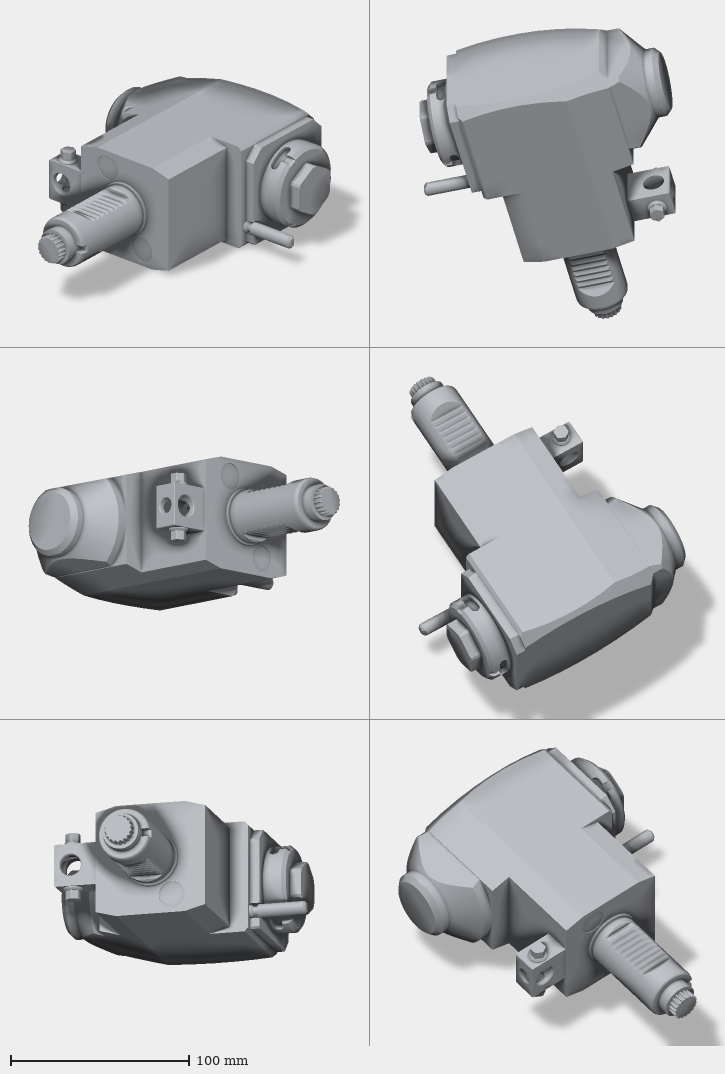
import cadquery as cq
import math


HALF_HEIGHT = 32.0
BODY_HALF_WIDTH = 32.0
BODY_FLAT_HALF = 20.0
SIDE_SLOPE = math.tan(math.radians(15))
HEAD_LEFT = -44.0
HEAD_RIGHT = 42.6
HEAD_FRONT = 51.0
HEAD_BACK = 115.0
HEAD_EDGE_CHAMFER = 2.2
HEAD_BACK_CHAMFER = 4.0
CROWN_RADIUS = 128.0
CROWN_X = 10.0
CROWN_CHAMFER = 2.7
SPINDLE_Y = 85.0

CAP_LEFT = -71.0
CAP_NOSE_RADIUS = 19.5
CAP_NOSE_CHAMFER = 3.0
CAP_CONE_START = -63.1
CAP_CONE_END = -50.2
CAP_RADIUS = SPINDLE_Y - HEAD_FRONT
CAP_HALF_HEIGHT = 25.2
CAP_BACK = HEAD_BACK - HEAD_BACK_CHAMFER

PLATE_RIGHT = 48.1
PLATE_SIZE_Y = 60.0
PLATE_SIZE_Z = 59.0
PLATE_CHAMFER = 7.4
PLATE_SMALL_CHAMFER = 1.2
NUT_RIGHT = 61.3
NUT_RADIUS = 24.5
NUT_CHAMFER = 2.1
NUT_GAP_RADIUS = 23.5
NUT_GAP_RIGHT = 48.6
NUT_SLOT_X = 52.9
NUT_SLOT_WIDTH = 5.2
NUT_SLOT_LENGTH = 16.4
NUT_SLOT_DEPTH = 3.0
NUT_NOTCH_WIDTH = 5.0
NUT_NOTCH_DEPTH = 2.6
NUT_SLOT_ANGLES = (30, 150, 270)
HEX_RIGHT = 67.8
HEX_ACROSS_FLATS = 27.0
HEX_CORNER_RADIUS = 15.1
HEX_CHAMFER = 0.5

PIN_RIGHT = 75.38
PIN_Y = 56.4
PIN_Z = -19.2
PIN_RADIUS = 3.75
PIN_NECK_RADIUS = 2.5
PIN_NECK_LEFT = 44.7
PIN_NECK_RIGHT = 47.5
PIN_TIP_CHAMFER = 1.2
PIN_TIP_FLAT = 2.6
PIN_CLEARANCE_RADIUS = 4.6

SHANK_RADIUS = 15.0
SHANK_LENGTH = 55.0
SHANK_END_TAPER = 2.0
SHANK_END_TAPER_RADIUS = 14.6
SHANK_END_CHAMFER = 0.6
COLLAR_RADIUS = 16.2
COLLAR_LENGTH = 1.5
COLLAR_CHAMFER = 0.4
RELIEF_RADIUS = 14.6
RELIEF_START = 2.1
RELIEF_END = 2.6
NECK_RADIUS = 10.3
NECK_END = 61.4
RACK_FLAT_Z = 11.75
RACK_VALLEY_Z = 10.5
RACK_START = 7.2
RACK_LEAD_IN = 1.1
RACK_TEETH_START = 10.0
RACK_PITCH = 4.0
RACK_GROOVES = 8
KEYWAY_WIDTH = 4.6
KEYWAY_START = 50.5

SPLINE_END = 67.0
SPLINE_TEETH = 18
SPLINE_TIP_RADIUS = 8.1
SPLINE_ROOT_RADIUS = 7.2
SPLINE_CHAMFER = 0.4
SPLINE_ROOT_SHARE = 0.30
SPLINE_TIP_SHARE = 0.12

PLUG_X = 12.5
PLUG_Z = 21.7
PLUG_RADIUS = 7.5
PLUG_DEPTH = 0.5

BLOCK_LEFT = -56.0
BLOCK_FRONT = 0.7
BLOCK_SIZE_Y = 15.0
BLOCK_HALF_HEIGHT = 12.2
BLOCK_CHAMFER = 0.4
PORT_X = -46.9
PORT_Y = BLOCK_FRONT + BLOCK_SIZE_Y / 2
CROSS_PORT_RADIUS = 6.1
SIDE_PORT_RADIUS = 4.4
FEED_RADIUS = 1.6
FEED_END = -36.0
SIDE_PORT_END = -38.0
PORT_CHAMFER = 0.5
SCREW_Y = 6.85
SCREW_COLLAR_RADIUS = 5.4
SCREW_COLLAR_TOP_RADIUS = 4.5
SCREW_COLLAR_RIM = 0.7
SCREW_COLLAR_HEIGHT = 1.8
SCREW_TOP = 19.0
SCREW_ACROSS_FLATS = 7.6
SCREW_CORNER_RADIUS = 4.25
SCREW_BORE_RADIUS = 3.5
SCREW_BORE_HALF_HEIGHT = 7.0


def box(x_range, y_range, z_range):
    """Box spanning the given (low, high) ranges."""
    size = [high - low for low, high in (x_range, y_range, z_range)]
    corner = (x_range[0], y_range[0], z_range[0])
    return cq.Workplane("XY").box(*size, centered=False).translate(corner)


def turned_y(profile):
    """Solid of revolution about Y from (radius, y) points."""
    return cq.Workplane("XY").polyline(profile).close().revolve(360, (0, 0), (0, 1))


def turned_x(profile, y, z=0):
    """Solid of revolution about an axis parallel to X from (x, radius) points."""
    turned = cq.Workplane("XY").polyline(profile).close().revolve(360, (0, 0), (1, 0))
    return turned.translate((0, y, z))


def rod_x(radius, left, right, y, z=0):
    return turned_x([(left, 0), (left, radius), (right, radius), (right, 0)], y, z)


def slope_z(x):
    """Height of the 15 degree side facets at a distance x from the shank axis."""
    return HALF_HEIGHT - (abs(x) - BODY_FLAT_HALF) * SIDE_SLOPE


def mirrored_section(upper, y_start, y_end):
    """Prism along Y whose XZ outline is the upper edge and its mirror below."""
    outline = upper + [(x, -z) for x, z in reversed(upper)]
    prism = cq.Workplane("XZ").polyline(outline).close().extrude(y_start - y_end)
    return prism.translate((0, y_start, 0))


def make_body():
    side_z = slope_z(BODY_HALF_WIDTH)
    upper = [
        (-BODY_HALF_WIDTH, side_z),
        (-BODY_FLAT_HALF, HALF_HEIGHT),
        (BODY_FLAT_HALF, HALF_HEIGHT),
        (BODY_HALF_WIDTH, side_z),
    ]
    body = mirrored_section(upper, 0, HEAD_FRONT)
    for side in (-1, 1):
        plug = cq.Workplane("XZ").center(side * PLUG_X, -side * PLUG_Z)
        body = body.cut(plug.circle(PLUG_RADIUS).extrude(-PLUG_DEPTH))
    return body


def make_crown():
    """Large 45 degree cone that bevels the upper back edge of the head."""
    front_radius = CROWN_RADIUS + HEAD_BACK - HEAD_FRONT
    profile = [(0, HEAD_FRONT), (front_radius, HEAD_FRONT), (CROWN_RADIUS, HEAD_BACK), (0, HEAD_BACK)]
    axis_z = HALF_HEIGHT - CROWN_CHAMFER - CROWN_RADIUS
    return turned_y(profile).translate((CROWN_X, 0, axis_z))


def make_head():
    upper = [
        (HEAD_LEFT, slope_z(HEAD_LEFT)),
        (-BODY_FLAT_HALF, HALF_HEIGHT),
        (HEAD_RIGHT - HEAD_EDGE_CHAMFER, HALF_HEIGHT),
        (HEAD_RIGHT, HALF_HEIGHT - HEAD_EDGE_CHAMFER),
    ]
    head = mirrored_section(upper, HEAD_FRONT, HEAD_BACK)
    head = head.edges(cq.selectors.NearestToPointSelector((HEAD_LEFT, HEAD_BACK, 0)))
    head = head.chamfer(HEAD_BACK_CHAMFER)
    crown = make_crown()
    return head.intersect(crown).intersect(crown.mirror("XY"))


def make_cap():
    nose_end = CAP_LEFT + CAP_NOSE_CHAMFER
    profile = [
        (CAP_LEFT, 0),
        (CAP_LEFT, CAP_NOSE_RADIUS - CAP_NOSE_CHAMFER),
        (nose_end, CAP_NOSE_RADIUS),
        (CAP_CONE_START, CAP_NOSE_RADIUS),
        (CAP_CONE_END, CAP_RADIUS),
        (HEAD_LEFT, CAP_RADIUS),
        (HEAD_LEFT, 0),
    ]
    flat_start = -BODY_FLAT_HALF - (HALF_HEIGHT - CAP_HALF_HEIGHT) / SIDE_SLOPE
    upper = [
        (CAP_LEFT, slope_z(CAP_LEFT)),
        (flat_start, CAP_HALF_HEIGHT),
        (HEAD_LEFT, CAP_HALF_HEIGHT),
    ]
    envelope = mirrored_section(upper, HEAD_FRONT, CAP_BACK)
    return turned_x(profile, SPINDLE_Y).intersect(envelope)


def make_plate():
    front = SPINDLE_Y - PLATE_SIZE_Y / 2
    back = SPINDLE_Y + PLATE_SIZE_Y / 2
    half_z = PLATE_SIZE_Z / 2
    outline = [
        (front + PLATE_SMALL_CHAMFER, -half_z),
        (back - PLATE_CHAMFER, -half_z),
        (back, -half_z + PLATE_CHAMFER),
        (back, half_z - PLATE_CHAMFER),
        (back - PLATE_CHAMFER, half_z),
        (front + PLATE_CHAMFER, half_z),
        (front, half_z - PLATE_CHAMFER),
        (front, -half_z + PLATE_SMALL_CHAMFER),
    ]
    plate = cq.Workplane("YZ").polyline(outline).close().extrude(PLATE_RIGHT - HEAD_RIGHT)
    plate = plate.translate((HEAD_RIGHT, 0, 0))
    return plate.cut(rod_x(PIN_CLEARANCE_RADIUS, HEAD_RIGHT, PLATE_RIGHT, PIN_Y, PIN_Z))


def make_nut_slot():
    """Spanner slot and end notch at the top of a nut centred on the X axis."""
    floor_radius = NUT_RADIUS - NUT_SLOT_DEPTH
    slot = cq.Workplane("XY").center(NUT_SLOT_X, 0).slot2D(NUT_SLOT_LENGTH, NUT_SLOT_WIDTH, 90)
    slot = slot.extrude(NUT_RADIUS).cut(rod_x(floor_radius, PLATE_RIGHT, NUT_RIGHT, 0))
    half_notch = NUT_NOTCH_WIDTH / 2
    notch_floor = NUT_RADIUS - NUT_NOTCH_DEPTH
    notch = box((NUT_SLOT_X, NUT_RIGHT), (-half_notch, half_notch), (notch_floor, NUT_RADIUS))
    return slot.union(notch)


def make_nut():
    profile = [
        (PLATE_RIGHT, 0),
        (PLATE_RIGHT, NUT_GAP_RADIUS),
        (NUT_GAP_RIGHT, NUT_GAP_RADIUS),
        (NUT_GAP_RIGHT, NUT_RADIUS),
        (NUT_RIGHT - NUT_CHAMFER, NUT_RADIUS),
        (NUT_RIGHT, NUT_RADIUS - NUT_CHAMFER),
        (NUT_RIGHT, 0),
    ]
    nut = turned_x(profile, 0)
    slot = make_nut_slot()
    for angle in NUT_SLOT_ANGLES:
        nut = nut.cut(slot.rotate((0, 0, 0), (1, 0, 0), angle))
    return nut.translate((0, SPINDLE_Y, 0))


def make_hexagon():
    corner_diameter = HEX_ACROSS_FLATS / math.cos(math.pi / 6)
    prism = cq.Workplane("YZ").polygon(6, corner_diameter).extrude(HEX_RIGHT - NUT_RIGHT)
    prism = prism.rotate((0, 0, 0), (1, 0, 0), 90).translate((NUT_RIGHT, SPINDLE_Y, 0))
    profile = [
        (NUT_RIGHT, 0),
        (NUT_RIGHT, HEX_CORNER_RADIUS),
        (HEX_RIGHT - HEX_CHAMFER, HEX_CORNER_RADIUS),
        (HEX_RIGHT, HEX_CORNER_RADIUS - HEX_CHAMFER),
        (HEX_RIGHT, 0),
    ]
    return prism.intersect(turned_x(profile, SPINDLE_Y))


def make_pin():
    neck_step = PIN_RADIUS - PIN_NECK_RADIUS
    profile = [
        (HEAD_RIGHT, 0),
        (HEAD_RIGHT, PIN_RADIUS),
        (PIN_NECK_LEFT - neck_step, PIN_RADIUS),
        (PIN_NECK_LEFT, PIN_NECK_RADIUS),
        (PIN_NECK_RIGHT, PIN_NECK_RADIUS),
        (PIN_NECK_RIGHT, PIN_RADIUS),
        (PIN_RIGHT - PIN_TIP_CHAMFER, PIN_RADIUS),
        (PIN_RIGHT, PIN_RADIUS - PIN_TIP_CHAMFER),
        (PIN_RIGHT, 0),
    ]
    pin = turned_x(profile, PIN_Y, PIN_Z)
    back = PIN_Y + PIN_RADIUS
    tip_wedge = cq.Workplane("XY").workplane(offset=PIN_Z - PIN_RADIUS)
    tip_wedge = tip_wedge.moveTo(PIN_RIGHT - PIN_TIP_FLAT, back).lineTo(PIN_RIGHT, back)
    tip_wedge = tip_wedge.lineTo(PIN_RIGHT, back - PIN_TIP_FLAT).close().extrude(2 * PIN_RADIUS)
    return pin.cut(tip_wedge)


def make_rack_cut():
    """Upper clamping recess of the shank: flat, V grooves and a 45 degree run-out."""
    outline = [
        (-RACK_START + RACK_LEAD_IN, SHANK_RADIUS),
        (-RACK_START, SHANK_RADIUS - RACK_LEAD_IN),
        (-RACK_START, RACK_FLAT_Z),
    ]
    for groove in range(RACK_GROOVES):
        crest_y = -RACK_TEETH_START - groove * RACK_PITCH
        outline.append((crest_y, RACK_FLAT_Z))
        outline.append((crest_y - RACK_PITCH / 2, RACK_VALLEY_Z))
    last_valley_y = outline[-1][0]
    outline.append((last_valley_y - (SHANK_RADIUS - RACK_VALLEY_Z), SHANK_RADIUS))
    return cq.Workplane("YZ").polyline(outline).close().extrude(SHANK_RADIUS, both=True)


def make_shank():
    profile = [
        (0, 0),
        (COLLAR_RADIUS, 0),
        (COLLAR_RADIUS, -COLLAR_LENGTH + COLLAR_CHAMFER),
        (COLLAR_RADIUS - COLLAR_CHAMFER, -COLLAR_LENGTH),
        (RELIEF_RADIUS, -COLLAR_LENGTH),
        (RELIEF_RADIUS, -RELIEF_START),
        (SHANK_RADIUS, -RELIEF_END),
        (SHANK_RADIUS, -SHANK_LENGTH + SHANK_END_TAPER),
        (SHANK_END_TAPER_RADIUS, -SHANK_LENGTH + SHANK_END_CHAMFER),
        (SHANK_END_TAPER_RADIUS - SHANK_END_CHAMFER, -SHANK_LENGTH),
        (NECK_RADIUS, -SHANK_LENGTH),
        (NECK_RADIUS, -NECK_END),
        (0, -NECK_END),
    ]
    rack = make_rack_cut()
    shank = turned_y(profile).cut(rack).cut(rack.mirror("XY"))
    half_key = KEYWAY_WIDTH / 2
    keyway = box((NECK_RADIUS, SHANK_RADIUS), (-SHANK_LENGTH, -KEYWAY_START), (-half_key, half_key))
    return shank.cut(keyway)


def make_spline():
    tooth_angle = 2 * math.pi / SPLINE_TEETH
    tooth_steps = (
        (-SPLINE_ROOT_SHARE, SPLINE_ROOT_RADIUS),
        (-SPLINE_TIP_SHARE, SPLINE_TIP_RADIUS),
        (SPLINE_TIP_SHARE, SPLINE_TIP_RADIUS),
        (SPLINE_ROOT_SHARE, SPLINE_ROOT_RADIUS),
    )
    outline = []
    for tooth in range(SPLINE_TEETH):
        for step, radius in tooth_steps:
            angle = (tooth + step) * tooth_angle
            outline.append((radius * math.sin(angle), radius * math.cos(angle)))
    spline = cq.Workplane("XZ").polyline(outline).close().extrude(SPLINE_END - NECK_END)
    spline = spline.translate((0, -NECK_END, 0))
    blank = [
        (0, -NECK_END),
        (SPLINE_TIP_RADIUS, -NECK_END),
        (SPLINE_TIP_RADIUS, -SPLINE_END + SPLINE_CHAMFER),
        (SPLINE_TIP_RADIUS - SPLINE_CHAMFER, -SPLINE_END),
        (0, -SPLINE_END),
    ]
    return spline.intersect(turned_y(blank))


def make_screw():
    """Hexagon screw head with a tapered collar on the upper face of the coolant block."""
    collar = cq.Workplane("XY").circle(SCREW_COLLAR_RADIUS).extrude(SCREW_COLLAR_HEIGHT)
    collar_bevel = SCREW_COLLAR_RADIUS - SCREW_COLLAR_TOP_RADIUS
    collar = collar.faces(">Z").chamfer(SCREW_COLLAR_HEIGHT - SCREW_COLLAR_RIM, collar_bevel)
    corner_diameter = SCREW_ACROSS_FLATS / math.cos(math.pi / 6)
    head_height = SCREW_TOP - BLOCK_HALF_HEIGHT
    head = cq.Workplane("XY").polygon(6, corner_diameter).extrude(head_height)
    head = head.rotate((0, 0, 0), (0, 0, 1), 90)
    head = head.intersect(cq.Workplane("XY").circle(SCREW_CORNER_RADIUS).extrude(head_height))
    return collar.union(head).translate((PORT_X, SCREW_Y, BLOCK_HALF_HEIGHT))


def make_coolant_block():
    back = BLOCK_FRONT + BLOCK_SIZE_Y
    block = box(
        (BLOCK_LEFT, -BODY_HALF_WIDTH),
        (BLOCK_FRONT, back),
        (-BLOCK_HALF_HEIGHT, BLOCK_HALF_HEIGHT),
    )
    block = block.faces("<X").edges().chamfer(BLOCK_CHAMFER)
    mouth_radius = CROSS_PORT_RADIUS + PORT_CHAMFER
    cross_port = turned_y([
        (0, BLOCK_FRONT),
        (mouth_radius, BLOCK_FRONT),
        (CROSS_PORT_RADIUS, BLOCK_FRONT + PORT_CHAMFER),
        (CROSS_PORT_RADIUS, back),
        (0, back),
    ]).translate((PORT_X, 0, 0))
    side_port = turned_x([
        (BLOCK_LEFT, 0),
        (BLOCK_LEFT, SIDE_PORT_RADIUS + PORT_CHAMFER),
        (BLOCK_LEFT + PORT_CHAMFER, SIDE_PORT_RADIUS),
        (SIDE_PORT_END, SIDE_PORT_RADIUS),
        (SIDE_PORT_END, 0),
    ], PORT_Y)
    feed = rod_x(FEED_RADIUS, SIDE_PORT_END, FEED_END, PORT_Y)
    screw_bore = cq.Workplane("XY").center(PORT_X, SCREW_Y).circle(SCREW_BORE_RADIUS)
    screw_bore = screw_bore.extrude(SCREW_BORE_HALF_HEIGHT, both=True)
    for opening in (cross_port, side_port, feed, screw_bore):
        block = block.cut(opening)
    screw = make_screw()
    return block.union(screw).union(screw.mirror("XY"))


result = make_body()
for component in (
    make_head(),
    make_cap(),
    make_plate(),
    make_nut(),
    make_hexagon(),
    make_pin(),
    make_shank(),
    make_spline(),
    make_coolant_block(),
):
    result = result.union(component)